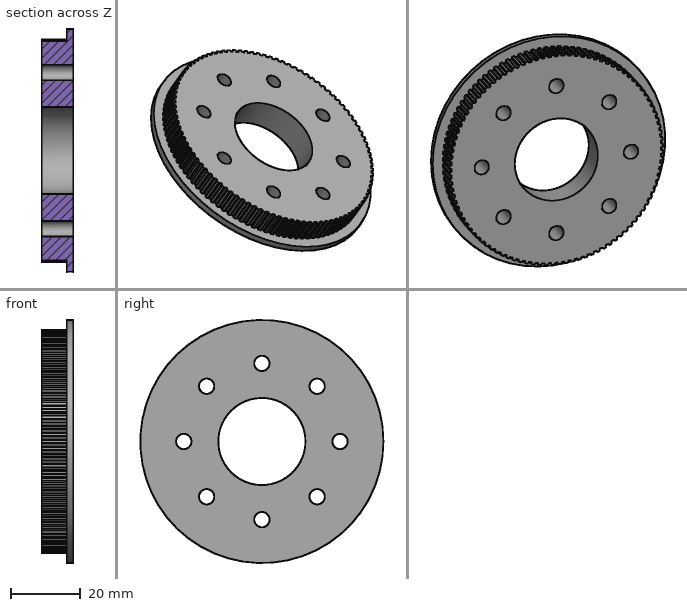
import cadquery as cq
import math

flange_diameter = 70.0
total_width = 9.1
flange_width = 1.95
toothed_width = total_width - flange_width

tooth_count = 100
tip_diameter = 64.2
tip_radius = tip_diameter / 2
groove_depth = 0.55
groove_floor_width = 0.7
groove_included_angle = 50.0

bore_diameter = 25.0
bolt_hole_count = 8
bolt_hole_diameter = 4.35
bolt_circle_radius = 22.5


def polar_point(radius, angle):
    return radius * math.cos(angle), radius * math.sin(angle)


def toothed_outline():
    """Closed outline with a groove centred on angle zero and on every pitch after it."""
    pitch_angle = 2 * math.pi / tooth_count
    flank_spread = groove_depth * math.tan(math.radians(groove_included_angle / 2))
    floor_half_width = groove_floor_width / 2
    mouth_half_angle = math.asin((floor_half_width + flank_spread) / tip_radius)
    root_radius = tip_radius - groove_depth
    floor_half_angle = math.asin(floor_half_width / root_radius)

    outline = cq.Workplane("YZ").moveTo(*polar_point(tip_radius, -mouth_half_angle))
    for groove in range(tooth_count):
        centre = groove * pitch_angle
        tooth_middle = centre + pitch_angle / 2
        next_mouth = centre + pitch_angle - mouth_half_angle
        outline = (
            outline.lineTo(*polar_point(root_radius, centre - floor_half_angle))
            .lineTo(*polar_point(root_radius, centre + floor_half_angle))
            .lineTo(*polar_point(tip_radius, centre + mouth_half_angle))
            .threePointArc(polar_point(tip_radius, tooth_middle), polar_point(tip_radius, next_mouth))
        )
    return outline.close()


toothed_rim = toothed_outline().extrude(toothed_width)
flange = (
    cq.Workplane("YZ", origin=(toothed_width, 0, 0))
    .circle(flange_diameter / 2)
    .extrude(flange_width)
)

bore = cq.Workplane("YZ").circle(bore_diameter / 2).extrude(total_width)
bolt_holes = (
    cq.Workplane("YZ")
    .polarArray(bolt_circle_radius, 0, 360, bolt_hole_count)
    .circle(bolt_hole_diameter / 2)
    .extrude(total_width)
)

result = toothed_rim.union(flange).cut(bore).cut(bolt_holes)